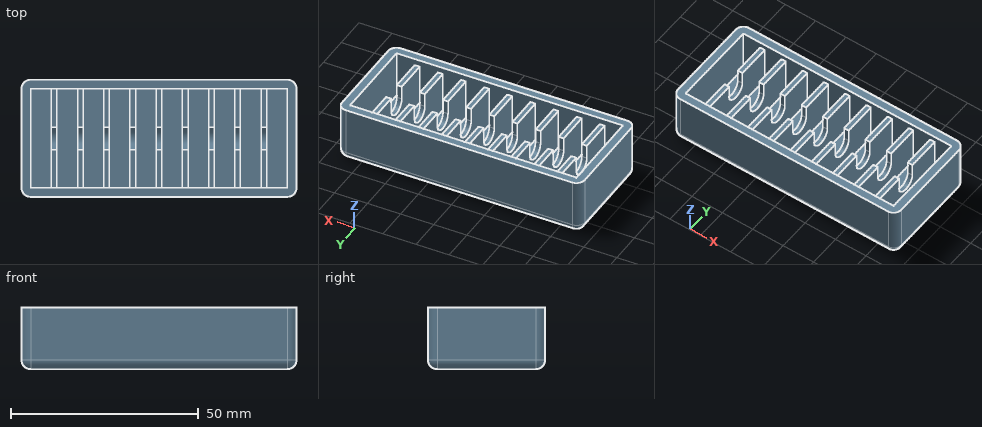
import cadquery as cq

length = 73.4
width = 31.3
height = 16.5
wall = 2.5
floor = 2.5
outer_radius = 2.5

divider_count = 9
divider_thickness = 1.5
divider_height = 12.0

notch_width = 6.0
notch_bottom_gap = 5.0

cavity_length = length - 2 * wall
cavity_width = width - 2 * wall
divider_pitch = (cavity_length + divider_thickness) / (divider_count + 1)


def make_tray():
    """Open box with rounded upright corners and a rounded bottom rim."""
    body = cq.Workplane("XY").box(length, width, height, centered=(True, True, False))
    body = body.edges("|Z").fillet(outer_radius).faces("<Z").edges().fillet(outer_radius)
    cavity = (
        cq.Workplane("XY")
        .workplane(offset=floor)
        .rect(cavity_length, cavity_width)
        .extrude(height - floor)
    )
    return body.cut(cavity)


def make_divider(x_center):
    """Upright plate across the cavity, with a U-shaped notch at mid-width."""
    notch_radius = notch_width / 2
    side = cavity_width / 2
    top = floor + divider_height
    notch_bottom = floor + notch_bottom_gap
    arc_start = notch_bottom + notch_radius
    return (
        cq.Workplane("YZ")
        .workplane(offset=x_center - divider_thickness / 2)
        .moveTo(-side, floor)
        .lineTo(side, floor)
        .lineTo(side, top)
        .lineTo(notch_radius, top)
        .lineTo(notch_radius, arc_start)
        .threePointArc((0, notch_bottom), (-notch_radius, arc_start))
        .lineTo(-notch_radius, top)
        .lineTo(-side, top)
        .close()
        .extrude(divider_thickness)
    )


result = make_tray()
for index in range(divider_count):
    x_center = (index - (divider_count - 1) / 2) * divider_pitch
    result = result.union(make_divider(x_center))